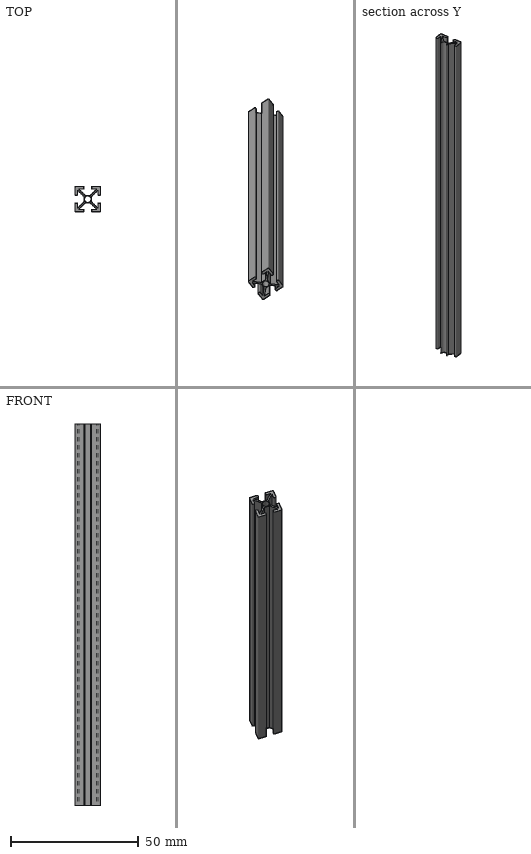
import cadquery as cq

length = 150.0
width = 10.0
slot_opening = 3.0
lip_thickness = 1.0
lip_radius = 0.3
corner_radius = 0.38
web_thickness = 0.68
hub_width = 3.0
bore_diameter = 2.5
quadrant_count = 4

half_width = width / 2
half_slot = slot_opening / 2
inner_face = half_width - lip_thickness


def round_edge(solid, x, y, radius):
    """Fillet the lengthwise edge that passes through (x, y)."""
    middle = (x, y, length / 2)
    return solid.edges(cq.selectors.NearestToPointSelector(middle)).fillet(radius)


def corner_angle():
    """L-shaped corner in the +X +Y quadrant, with a rounded outer edge and lip ends."""
    outline = [
        (half_slot, half_width),
        (half_width, half_width),
        (half_width, half_slot),
        (inner_face, half_slot),
        (inner_face, inner_face),
        (half_slot, inner_face),
    ]
    angle = cq.Workplane("XY").polyline(outline).close().extrude(length)
    angle = round_edge(angle, half_width, half_width, corner_radius)
    for face in (half_width, inner_face):
        angle = round_edge(angle, half_slot, face, lip_radius)
        angle = round_edge(angle, face, half_slot, lip_radius)
    return angle


def diagonal_web():
    """Thin wall from the part axis into the +X +Y corner."""
    reach = (half_width - lip_thickness / 2) * 2**0.5
    return (
        cq.Workplane("XY")
        .center(reach / 2, 0)
        .rect(reach, web_thickness)
        .extrude(length)
        .rotate((0, 0, 0), (0, 0, 1), 45)
    )


profile = cq.Workplane("XY").rect(hub_width, hub_width).extrude(length)
quarter = corner_angle().union(diagonal_web())
for quadrant in range(quadrant_count):
    turn = quadrant * 360 / quadrant_count
    profile = profile.union(quarter.rotate((0, 0, 0), (0, 0, 1), turn))

bore = cq.Workplane("XY").circle(bore_diameter / 2).extrude(length)
result = profile.cut(bore)